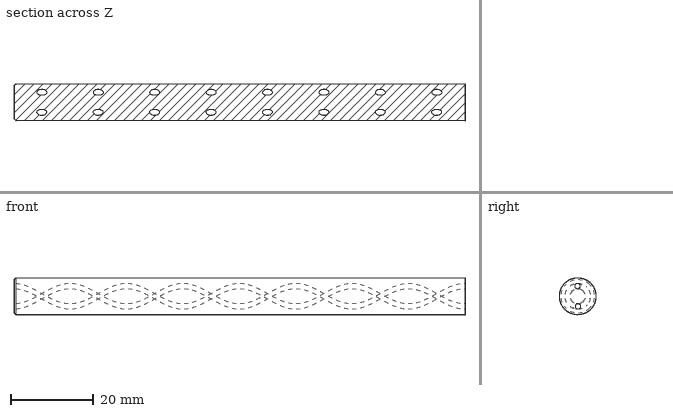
import cadquery as cq

length = 110.0
diameter = 9.0
chamfer = 0.4

channel_count = 2
channel_diameter = 1.3
channel_spacing = 5.0
helix_pitch = 27.5
first_channel_tilt = 1.5


def make_rod():
    """Solid rod centred on the origin, with a chamfered edge at its -X end."""
    rod = cq.Workplane("YZ").circle(diameter / 2).extrude(length / 2, both=True)
    return rod.faces("<X").edges().chamfer(chamfer)


def make_channel(tilt):
    """Helical channel through the full length, starting at a tilt from +Z around X."""
    turn = 360 * length / helix_pitch
    channel = (
        cq.Workplane("YZ", origin=(-length / 2, 0, 0))
        .moveTo(0, channel_spacing / 2)
        .circle(channel_diameter / 2)
        .twistExtrude(length, turn)
    )
    return channel.rotate((0, 0, 0), (1, 0, 0), tilt)


result = make_rod()
for index in range(channel_count):
    result = result.cut(make_channel(first_channel_tilt + index * 360 / channel_count))